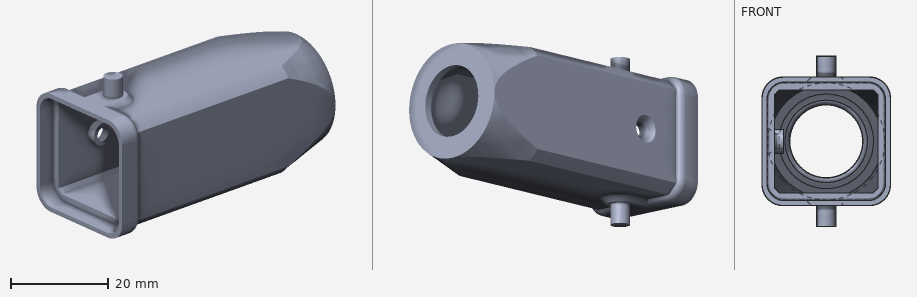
import cadquery as cq
import math

LENGTH = 60.0

TUBE_SIZE = 24.1
TUBE_CORNER_RADIUS = 15.6
TAPER_START = 47.05
TUBE_END_RADIUS = TUBE_SIZE / 2

FLANGE_SIZE = 26.5
FLANGE_CORNER_RADIUS = 4.4
FLANGE_LENGTH = 5.3
FLANGE_EDGE_FILLET = 1.5

RIM_THICKNESS = 1.0
RECESS_DEPTH = 3.7
RECESS_CORNER_RADIUS = 3.7

CAVITY_SIZE = 21.25
CAVITY_CORNER_RADIUS = 14.35
CAVITY_END_RADIUS = 11.6
END_WALL = 3.0

COUNTERBORE_DIAMETER = 19.5
COUNTERBORE_DEPTH = 0.6
CABLE_HOLE_DIAMETER = 17.0

SEAL_BORE = 15.0
SEAL_LIP_DIAMETER = 16.5

PEG_DIAMETER = 4.0
PEG_SPAN = 35.1
PEG_Y = 9.3
PAD_BASE_RADIUS = 4.25
PAD_TOP_RADIUS = 3.0

SCREW_Y = 14.4
SCREW_HOLE_DIAMETER = 3.0
COUNTERSINK_DIAMETER = 5.8
COUNTERSINK_ANGLE = 90.0
SCREW_BOSS_DIAMETER = 5.0
SCREW_BOSS_LENGTH = 1.8

CAVITY_END = LENGTH - END_WALL
SEAL_START = CAVITY_END + COUNTERBORE_DEPTH


def plane_at_y(y):
    """Plane across the hood at y, with its normal along +Y."""
    return cq.Workplane("ZX", origin=(0, y, 0))


def cylinder_along_y(diameter, start, end):
    return plane_at_y(start).circle(diameter / 2).extrude(end - start)


def square_bar(size, start, end):
    return plane_at_y(start).rect(size, size).extrude(end - start)


def tapered_square(size, corner_radius, end_radius, start, end):
    """Square bar whose corners follow a cylinder, then a cone from TAPER_START to the end."""
    envelope = (
        cq.Workplane("XY")
        .moveTo(0, start)
        .lineTo(corner_radius, start)
        .lineTo(corner_radius, TAPER_START)
        .lineTo(end_radius, end)
        .lineTo(0, end)
        .close()
        .revolve(360, (0, 0, 0), (0, 1, 0))
    )
    return square_bar(size, start, end).intersect(envelope)


def make_flange():
    flange = square_bar(FLANGE_SIZE, 0, FLANGE_LENGTH).edges("|Y").fillet(FLANGE_CORNER_RADIUS)
    return flange.faces(">Y").edges().fillet(FLANGE_EDGE_FILLET)


def make_recess():
    recess = square_bar(FLANGE_SIZE - 2 * RIM_THICKNESS, 0, RECESS_DEPTH)
    return recess.edges("|Y").fillet(RECESS_CORNER_RADIUS)


def make_pad():
    """Upper pad: rounded tab that slopes down to the tube and runs forward into the flange."""
    base = TUBE_SIZE / 2
    height = (FLANGE_SIZE - TUBE_SIZE) / 2
    slope = math.degrees(math.atan2(PAD_BASE_RADIUS - PAD_TOP_RADIUS, height))
    return (
        cq.Workplane("XY", origin=(0, 0, base))
        .moveTo(-PAD_BASE_RADIUS, 0)
        .lineTo(PAD_BASE_RADIUS, 0)
        .lineTo(PAD_BASE_RADIUS, PEG_Y)
        .threePointArc((0, PEG_Y + PAD_BASE_RADIUS), (-PAD_BASE_RADIUS, PEG_Y))
        .close()
        .extrude(height, taper=slope)
    )


def make_peg():
    """Upper peg, standing on its pad."""
    pad_top = FLANGE_SIZE / 2
    return (
        cq.Workplane("XY", origin=(0, PEG_Y, pad_top))
        .circle(PEG_DIAMETER / 2)
        .extrude(PEG_SPAN / 2 - pad_top)
    )


def make_screw_boss():
    return (
        cq.Workplane("YZ", origin=(-CAVITY_SIZE / 2, SCREW_Y, 0))
        .circle(SCREW_BOSS_DIAMETER / 2)
        .extrude(SCREW_BOSS_LENGTH)
    )


def cut_screw_hole(body):
    outer_wall = cq.Workplane("YZ", origin=(-TUBE_SIZE / 2, SCREW_Y, 0))
    depth = (TUBE_SIZE - CAVITY_SIZE) / 2 + SCREW_BOSS_LENGTH
    slope = COUNTERSINK_ANGLE / 2
    sink_depth = (COUNTERSINK_DIAMETER - SCREW_HOLE_DIAMETER) / 2 / math.tan(math.radians(slope))
    hole = outer_wall.circle(SCREW_HOLE_DIAMETER / 2).extrude(depth)
    countersink = outer_wall.circle(COUNTERSINK_DIAMETER / 2).extrude(sink_depth, taper=slope)
    return body.cut(hole).cut(countersink)


def make_housing():
    body = tapered_square(TUBE_SIZE, TUBE_CORNER_RADIUS, TUBE_END_RADIUS, 0, LENGTH)
    body = body.union(make_flange())
    for feature in (make_pad(), make_peg()):
        body = body.union(feature).union(feature.mirror("XY"))
    body = body.cut(tapered_square(CAVITY_SIZE, CAVITY_CORNER_RADIUS, CAVITY_END_RADIUS, 0, CAVITY_END))
    body = body.cut(make_recess())
    body = body.cut(cylinder_along_y(COUNTERBORE_DIAMETER, CAVITY_END, SEAL_START))
    body = body.cut(cylinder_along_y(CABLE_HOLE_DIAMETER, SEAL_START, LENGTH))
    return cut_screw_hole(body.union(make_screw_boss()))


def make_seal():
    """Ring in the cable hole with a rounded lip facing the cavity."""
    ring = cylinder_along_y(CABLE_HOLE_DIAMETER, SEAL_START, LENGTH)
    ring = ring.cut(cylinder_along_y(SEAL_BORE, SEAL_START, LENGTH))
    lip_radius = (SEAL_LIP_DIAMETER - SEAL_BORE) / 2
    return ring.faces("<Y").edges(cq.selectors.RadiusNthSelector(0)).fillet(lip_radius)


housing = make_housing()
seal = make_seal()

result = cq.Compound.makeCompound([housing.val(), seal.val()])